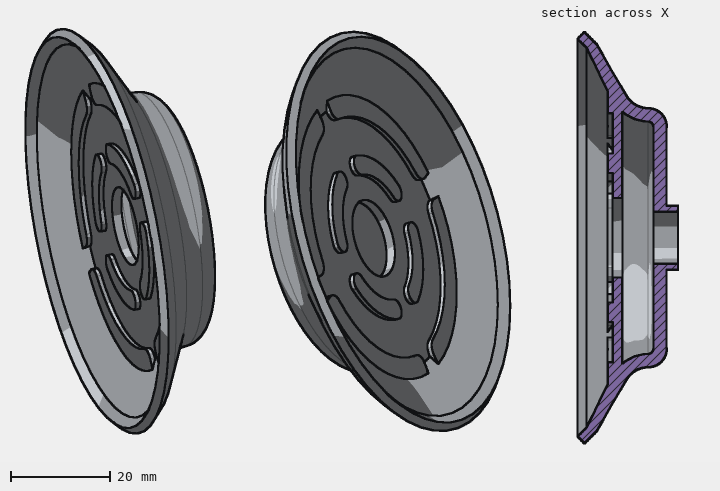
import cadquery as cq
import math

outer_radius = 41.4
total_depth = 20.2
rim_thickness = 2.0
outer_bevel = 2.5
inner_bevel = 1.8
skirt_angle = math.radians(60)
waist_radius = 26.1
neck_arc = 5.0
shoulder_arc = 3.8
plate_front = 7.0
floor_radius = 27.4
plate_thickness = 2.0
shell_wall = 2.7
boss_radius = 6.5
bore_radius = 5.2
plate_hole_radius = 7.95

pad_height = 1.0
inner_pad_radius = 15.0
inner_pad_half_width = 2.0
inner_pad_half_angle = math.radians(27.5)
outer_pad_inner_radius = 25.0
outer_pad_outer_radius = 30.2
outer_pad_half_angle = math.radians(40)
outer_pad_corner = 2.5

rim_step = rim_thickness * math.sin(math.radians(45))
rim_inner = (outer_radius - rim_step, 0)
rim_outer = (outer_radius, rim_step)
skirt_outer = (outer_radius - outer_bevel, rim_step + outer_bevel)
skirt_inner = (rim_inner[0] - inner_bevel, inner_bevel)

neck_center_radius = waist_radius + neck_arc
waist_depth = skirt_outer[1] + (
    neck_arc + (skirt_outer[0] - neck_center_radius) * math.cos(skirt_angle)
) / math.sin(skirt_angle)
body_depth = waist_depth + shoulder_arc
shoulder_center_radius = waist_radius - shoulder_arc


def neck_point(radius, angle):
    """Point on a neck arc, at an angle from the waist toward the open face."""
    return (
        neck_center_radius - radius * math.cos(angle),
        waist_depth - radius * math.sin(angle),
    )


def shoulder_point(radius, angle):
    """Point on a shoulder arc, at an angle from the waist toward the back."""
    return (
        shoulder_center_radius + radius * math.cos(angle),
        waist_depth + radius * math.sin(angle),
    )


plate_back = plate_front + plate_thickness
cavity_depth = body_depth - shell_wall
inner_neck_arc = neck_arc + shell_wall
inner_shoulder_arc = shoulder_arc - shell_wall
cavity_angle = math.asin((waist_depth - plate_back) / inner_neck_arc)
quarter = math.radians(90)


def revolve(profile):
    return profile.close().revolve(360, (0, 0, 0), (0, 1, 0))


def disc(radius, start, end):
    """Cylinder on the part axis between two depths."""
    return cq.Workplane("XZ", origin=(0, start, 0)).circle(radius).extrude(start - end)


def make_body():
    """Bell-shaped outer form with the conical front recess cut away."""
    return revolve(
        cq.Workplane("XY")
        .moveTo(0, plate_front)
        .lineTo(floor_radius, plate_front)
        .lineTo(*skirt_inner)
        .lineTo(*rim_inner)
        .lineTo(*rim_outer)
        .lineTo(*skirt_outer)
        .lineTo(*neck_point(neck_arc, skirt_angle))
        .threePointArc(neck_point(neck_arc, skirt_angle / 2), neck_point(neck_arc, 0))
        .threePointArc(
            shoulder_point(shoulder_arc, quarter / 2), shoulder_point(shoulder_arc, quarter)
        )
        .lineTo(0, body_depth)
    )


def make_cavity():
    """Hollow between the base plate and the back, one wall inside the outer form."""
    return revolve(
        cq.Workplane("XY")
        .moveTo(0, plate_back)
        .lineTo(*neck_point(inner_neck_arc, cavity_angle))
        .threePointArc(
            neck_point(inner_neck_arc, cavity_angle / 2), neck_point(inner_neck_arc, 0)
        )
        .threePointArc(
            shoulder_point(inner_shoulder_arc, quarter / 2),
            shoulder_point(inner_shoulder_arc, quarter),
        )
        .lineTo(0, cavity_depth)
    )


def polar(radius, angle):
    """Point across the base plate, at an angle from the Z axis."""
    return (radius * math.sin(angle), radius * math.cos(angle))


def pad_start(radius, angle):
    return cq.Workplane("XZ", origin=(0, plate_front, 0)).moveTo(*polar(radius, angle))


def make_inner_pad():
    """Curved pad with round ends."""
    inner = inner_pad_radius - inner_pad_half_width
    outer = inner_pad_radius + inner_pad_half_width
    side = inner_pad_half_angle
    cap_angle = side + math.atan(inner_pad_half_width / inner_pad_radius)
    cap_radius = math.hypot(inner_pad_radius, inner_pad_half_width)
    return (
        pad_start(inner, -side)
        .threePointArc(polar(inner, 0), polar(inner, side))
        .threePointArc(polar(cap_radius, cap_angle), polar(outer, side))
        .threePointArc(polar(outer, 0), polar(outer, -side))
        .threePointArc(polar(cap_radius, -cap_angle), polar(inner, -side))
        .close()
        .extrude(pad_height)
    )


def make_outer_pad():
    """Ring sector that runs into the conical wall, its two inner corners rounded."""
    inner = outer_pad_inner_radius
    outer = outer_pad_outer_radius
    side = outer_pad_half_angle
    return (
        pad_start(inner, -side)
        .threePointArc(polar(inner, 0), polar(inner, side))
        .lineTo(*polar(outer, side))
        .threePointArc(polar(outer, 0), polar(outer, -side))
        .close()
        .extrude(pad_height)
        .edges("|Y")
        .edges("<Z")
        .fillet(outer_pad_corner)
    )


def add_pads(body):
    """Stand four pads of each kind on the front of the base plate."""
    for turn in range(0, 360, 90):
        for pad in (make_inner_pad(), make_outer_pad()):
            body = body.union(pad.rotate((0, 0, 0), (0, 1, 0), turn))
    return body


result = (
    add_pads(make_body())
    .cut(make_cavity())
    .union(disc(boss_radius, cavity_depth, total_depth))
    .cut(disc(bore_radius, plate_back, total_depth))
    .cut(disc(plate_hole_radius, plate_front, plate_back))
)